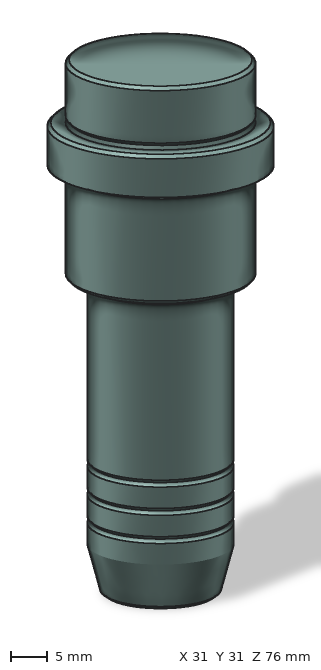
import cadquery as cq
import math

length = 76.0
head_radius = 13.0
flange_radius = 15.5
shank_radius = 10.0
edge_chamfer = 0.5

flange_top = 67.0
flange_height = 6.0
flange_bottom = flange_top - flange_height
collar_bottom = 45.0

groove_width = 1.0
groove_depth = groove_width / 2
shank_groove_count = 3
shank_groove_pitch = 4.0
lowest_groove_height = 10.5

relief_width = 0.9
relief_depth = 0.495

tip_height = 7.0
tip_angle = math.radians(15)
tip_radius = shank_radius - tip_height * math.tan(tip_angle)


def cylinder(radius, bottom, top):
    """Round section of the part between two heights."""
    return cq.Workplane("XY").workplane(offset=bottom).circle(radius).extrude(top - bottom)


def v_groove(radius, center_height):
    """Ring with a triangular section that cuts a V groove into a round surface."""
    half_width = groove_width / 2
    outline = [
        (radius - groove_depth, center_height),
        (radius, center_height + half_width),
        (radius, center_height - half_width),
    ]
    return cq.Workplane("XZ").polyline(outline).close().revolve(axisStart=(0, 0), axisEnd=(0, 1))


head = cylinder(head_radius, collar_bottom, length).faces("<Z or >Z").chamfer(edge_chamfer)
for groove_height in (flange_top + groove_width / 2, flange_bottom - groove_width / 2):
    head = head.cut(v_groove(head_radius, groove_height))

flange = cylinder(flange_radius, flange_bottom, flange_top).faces(">Z").chamfer(edge_chamfer)

shank = cylinder(shank_radius, tip_height, collar_bottom - relief_width)
neck = cylinder(shank_radius - relief_depth, collar_bottom - relief_width, collar_bottom)
for index in range(shank_groove_count):
    groove_height = lowest_groove_height + index * shank_groove_pitch
    shank = shank.cut(v_groove(shank_radius, groove_height))

tip_outline = [(0, 0), (tip_radius, 0), (shank_radius, tip_height), (0, tip_height)]
tip = cq.Workplane("XZ").polyline(tip_outline).close().revolve(axisStart=(0, 0), axisEnd=(0, 1))
tip = tip.faces("<Z").chamfer(edge_chamfer)

result = head.union(flange).union(neck).union(shank).union(tip)